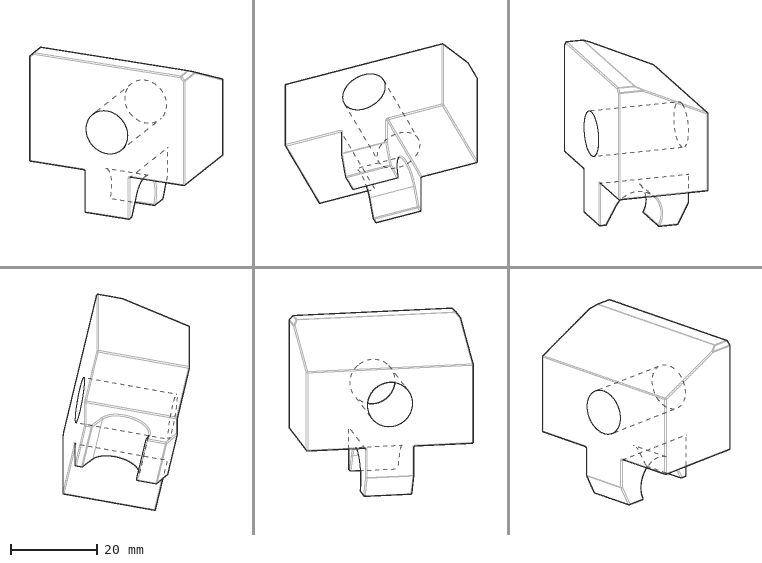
import cadquery as cq
import math

width = 39.5
depth = 22.0
block_height = 27.1
top_land = 4.25
back_height = 19.0
corner_chamfer = 1.0
edge_radius = 0.3

tab_width = 11.4
tab_length = 12.15
front_leg_length = 10.55
front_leg_thickness = 1.75
tab_back_drop = 7.05
tab_tip_back = 19.35

seat_radius = 5.9
seat_y = 9.35
seat_z = -8.95

hole_diameter = 10.63
hole_z = 10.3


def side_extrusion(sketch, size):
    """Extrude a (y, z) outline symmetrically along x."""
    return sketch.close().extrude(size / 2, both=True)


def seat_point(angle):
    """Point of the seat circle, with the angle measured from +y toward +z."""
    return seat_y + seat_radius * math.cos(angle), seat_z + seat_radius * math.sin(angle)


def make_block():
    outline = (
        cq.Workplane("YZ")
        .moveTo(0, 0)
        .lineTo(0, block_height)
        .lineTo(top_land, block_height)
        .lineTo(depth, back_height)
        .lineTo(depth, 0)
    )
    block = side_extrusion(outline, width)
    corners = block.edges("|Y and >Z")
    return corners.chamfer(corner_chamfer)


def make_tab():
    leg_dy = front_leg_thickness - seat_y
    leg_dz = -front_leg_length - seat_z
    leg_direction = math.atan2(leg_dz, leg_dy) % (2 * math.pi)
    tangent_offset = math.acos(seat_radius / math.hypot(leg_dy, leg_dz))
    leg_tangent = seat_point(leg_direction - tangent_offset)
    tip_angle = math.asin((-tab_length - seat_z) / seat_radius)
    outline = (
        cq.Workplane("YZ")
        .moveTo(0, 0)
        .lineTo(0, -front_leg_length)
        .lineTo(front_leg_thickness, -front_leg_length)
        .lineTo(*leg_tangent)
        .threePointArc(seat_point(math.pi / 2), seat_point(tip_angle))
        .lineTo(tab_tip_back, -tab_length)
        .lineTo(depth, -tab_back_drop)
        .lineTo(depth, 0)
    )
    return side_extrusion(outline, tab_width)


body = make_block().union(make_tab()).clean()
body = body.edges().fillet(edge_radius)

hole = cq.Workplane("XZ").center(0, hole_z).circle(hole_diameter / 2).extrude(-depth)
result = body.cut(hole)